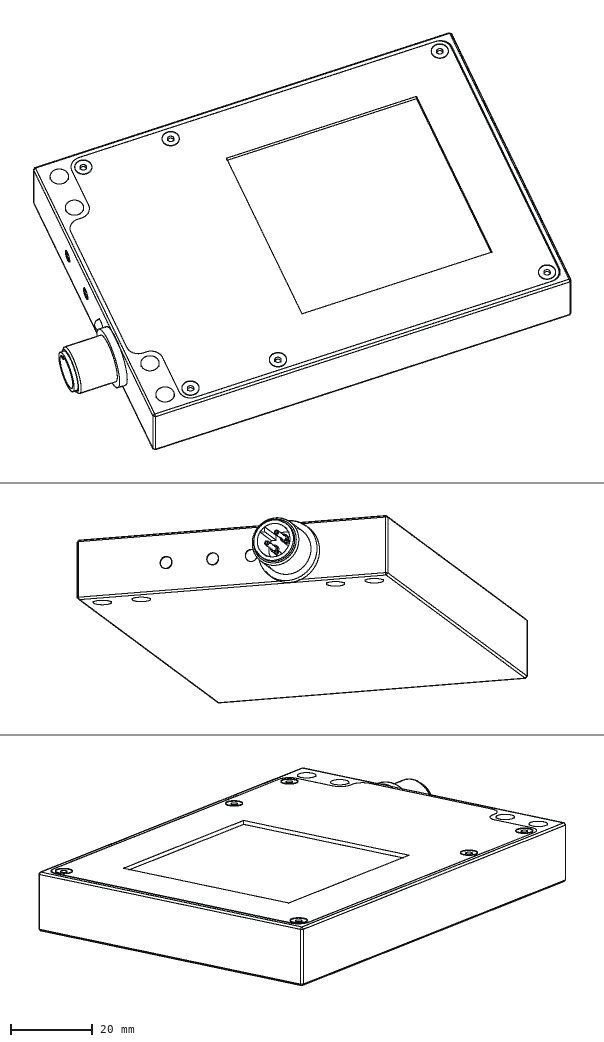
import cadquery as cq
import math

width = 80.0
length = 110.0
height = 15.0
top = height / 2
edge_chamfer = 0.5

cover_inset = 1.5
cover_thickness = 2.0
cover_back_gap = 0.25
cover_corner = 3.0
cover_shoulder_y = 8.5
cover_tongue_half_width = 21.5

label_size = 50.0
label_center_y = 70.0
label_depth = 1.0

screw_half_spacing = 35.5
screw_rows = (11.5, 34.5, 105.3)
screw_seat_diameter = 4.2
screw_seat_depth = 0.15
socket_diameter = 1.6
socket_depth = 1.0

mounting_hole_diameter = 4.5
mounting_hole_y = 5.0
mounting_hole_xs = (-35.0, -25.0, 25.0, 35.0)

port_xs = (-17.0, -5.0)
lamp_x = 5.0
port_diameter = 3.0
port_depth = 0.3
lamp_diameter = 3.0
lamp_seat_depth = 3.0

connector_x = 15.0
flange_diameter = 15.1
flange_length = 2.0
barrel_diameter = 12.0
barrel_end = 12.0
barrel_chamfer = 0.5
nose_diameter = 10.2
nose_end = 13.0
stem_diameter = 10.0
stem_length = 3.0
bore_diameter = 8.4
bore_depth = 9.0
insert_face = nose_end - bore_depth

key_corner_offset = 2.3
key_side = bore_diameter / 2 - key_corner_offset

pin_count = 4
pin_circle_radius = 2.5
pin_diameter = 1.1
pin_length = 7.0
pin_tip_chamfer = 0.25
collar_diameter = 1.8
collar_length = 1.0


def cover_block(back_gap):
    """Slab in the cover's plan, a rounded rectangle with a narrower tongue at the front.

    Its back edge stops short of the full length by `back_gap`.
    """
    side = width / 2 - cover_inset
    tongue = cover_tongue_half_width
    back = length - cover_inset - back_gap
    outline = (
        cq.Sketch()
        .polygon([
            (-side, back),
            (side, back),
            (side, cover_shoulder_y),
            (tongue, cover_shoulder_y),
            (tongue, cover_inset),
            (-tongue, cover_inset),
            (-tongue, cover_shoulder_y),
            (-side, cover_shoulder_y),
            (-side, back),
        ])
        .vertices()
        .fillet(cover_corner)
    )
    floor = cq.Workplane("XY", origin=(0, 0, top - cover_thickness))
    return floor.placeSketch(outline).extrude(cover_thickness)


def front_cylinder(x, diameter, y_start, y_end):
    """Cylinder along Y, centred at (x, Z = 0)."""
    plane = cq.Plane(origin=(x, y_start, 0), xDir=(1, 0, 0), normal=(0, -1, 0))
    return cq.Workplane(plane).circle(diameter / 2).extrude(y_start - y_end)


def make_housing():
    block = (
        cq.Workplane("XY")
        .box(width, length, height)
        .translate((0, length / 2, 0))
        .edges()
        .chamfer(edge_chamfer)
    )
    block = block.cut(cover_block(back_gap=0))
    holes = (
        cq.Workplane("XY", origin=(0, 0, -top))
        .pushPoints([(x, mounting_hole_y) for x in mounting_hole_xs])
        .circle(mounting_hole_diameter / 2)
        .extrude(height)
    )
    block = block.cut(holes)
    for x in port_xs:
        block = block.cut(front_cylinder(x, port_diameter, port_depth, 0))
    block = block.cut(front_cylinder(lamp_x, lamp_diameter, lamp_seat_depth, 0))
    return block.cut(front_cylinder(connector_x, stem_diameter, stem_length, 0))


def make_cover():
    cover = cover_block(cover_back_gap)
    label = (
        cq.Workplane("XY", origin=(0, label_center_y, top - label_depth))
        .rect(label_size, label_size)
        .extrude(label_depth)
    )
    cover = cover.cut(label)
    centers = [(side * screw_half_spacing, y) for side in (-1, 1) for y in screw_rows]
    seats = (
        cq.Workplane("XY", origin=(0, 0, top - screw_seat_depth))
        .pushPoints(centers)
        .circle(screw_seat_diameter / 2)
        .extrude(screw_seat_depth)
    )
    sockets = (
        cq.Workplane("XY", origin=(0, 0, top - socket_depth))
        .pushPoints(centers)
        .circle(socket_diameter / 2)
        .extrude(socket_depth)
    )
    return cover.cut(seats).cut(sockets)


def make_lamp():
    dome = cq.Workplane("XY").sphere(lamp_diameter / 2).translate((lamp_x, 0, 0))
    front_half = cq.Workplane("XY").box(width, length, height).translate((0, -length / 2, 0))
    return front_cylinder(lamp_x, lamp_diameter, lamp_seat_depth, 0).union(dome.intersect(front_half))


def make_connector_shell():
    stem = front_cylinder(connector_x, stem_diameter, stem_length, 0)
    flange = front_cylinder(connector_x, flange_diameter, 0, -flange_length)
    barrel = front_cylinder(connector_x, barrel_diameter, -flange_length, -barrel_end)
    barrel = barrel.faces("<Y").chamfer(barrel_chamfer)
    nose = front_cylinder(connector_x, nose_diameter, -barrel_end, -nose_end)
    bore = front_cylinder(connector_x, bore_diameter, stem_length, -nose_end)
    return stem.union(flange).union(barrel).union(nose).cut(bore)


def make_connector_insert():
    insert = front_cylinder(connector_x, bore_diameter, stem_length, -insert_face)
    key_offset = key_corner_offset + key_side / 2
    key = (
        cq.Workplane("XY")
        .box(key_side, bore_depth, key_side)
        .translate((connector_x - key_offset, -insert_face - bore_depth / 2, key_offset))
        .intersect(front_cylinder(connector_x, bore_diameter, -insert_face, -nose_end))
    )
    insert = insert.union(key)
    pin = front_cylinder(connector_x, pin_diameter, -insert_face, -insert_face - pin_length)
    pin = pin.faces("<Y").chamfer(pin_tip_chamfer)
    pin = pin.union(front_cylinder(connector_x, collar_diameter, -insert_face, -insert_face - collar_length))
    for index in range(pin_count):
        angle = index * 2 * math.pi / pin_count
        offset = (pin_circle_radius * math.cos(angle), 0, pin_circle_radius * math.sin(angle))
        insert = insert.union(pin.translate(offset))
    return insert


housing = make_housing()
cover = make_cover()
lamp = make_lamp()
connector_shell = make_connector_shell()
connector_insert = make_connector_insert()

result = cq.Compound.makeCompound([
    housing.val(),
    cover.val(),
    lamp.val(),
    connector_shell.val(),
    connector_insert.val(),
])